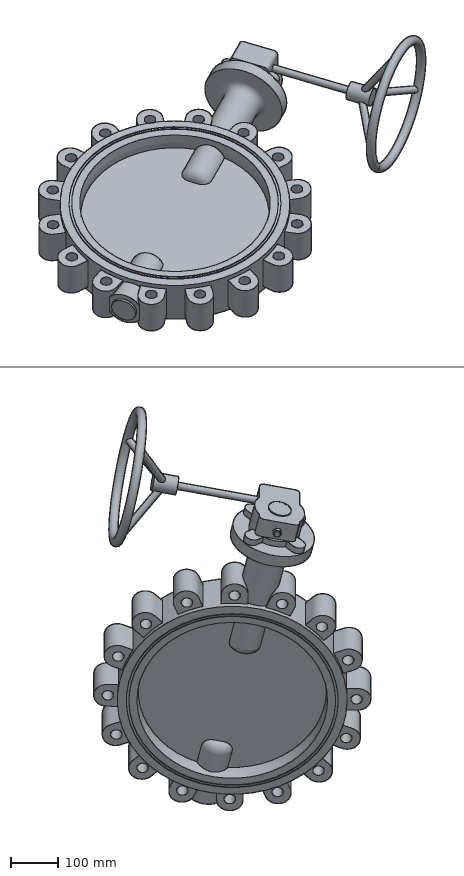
import cadquery as cq
import math


RING_RADIUS = 242.5
RING_HALF_WIDTH = 51.0
BEAD_OUTER_RADIUS = 223.5
BEAD_INNER_RADIUS = 218.0
BEAD_HALF_WIDTH = 53.0
BORE_MOUTH_RADIUS = 201.0
BORE_THROAT_RADIUS = 198.5
THROAT_HALF_WIDTH = 30.0

LUG_COUNT = 16
BOLT_CIRCLE_RADIUS = 262.5
LUG_CENTRE_RADIUS = 264.5
LUG_RADIUS = 28.0
LUG_HALF_HEIGHT = 40.0
LUG_HOLE_DIAMETER = 24.0
LUG_ROOT_RADIUS = 225.0
LUG_PITCH = 360.0 / LUG_COUNT

DISC_HALF_THICKNESS = 15.0
HUB_RADIUS = 36.5
HUB_END_FILLET = 20.0
UPPER_HUB_END = 103.5
LOWER_HUB_END = 132.5
HUB_OUTER_END = 210.0

NECK_RADIUS = 40.0
STEM_BOSS_ROOT = 225.0
NECK_FILLET = 15.0
FLANGE_RADIUS = 88.0
FLANGE_BOTTOM = 382.0
FLANGE_TOP = 409.0
BOSS_RADIUS = 40.0
BOSS_END = 281.5
STUB_RADIUS = 27.5
STUB_END = 287.0

BASE_TOP = 423.5
EAR_CIRCLE_RADIUS = 70.0
EAR_RADIUS = 16.0
EAR_ANGLES = (45.0, 135.0)
DRUM_RADIUS = 54.0
GEARBOX_TOP = 467.5
BLOCK_BOTTOM = 414.0
BLOCK_HALF_WIDTH = 43.5
BLOCK_UPPER_Z = 82.5
BLOCK_LOWER_Z = -47.0
BLOCK_FILLET = 10.0
CAP_RADIUS = 24.5
CAP_TOP = 470.0
SCREW_ACROSS_FLATS = 16.0
SCREW_END_Z = -57.5
SCREW_CHAMFER = 2.0

SHAFT_Y = 443.0
SHAFT_Z = 55.0
SHAFT_RADIUS = 8.0
WHEEL_OUTER_RADIUS = 150.0
RIM_RADIUS = 10.0
RIM_CENTRE_RADIUS = WHEEL_OUTER_RADIUS - RIM_RADIUS
RIM_X = 323.0
WHEEL_HUB_RADIUS = 20.0
WHEEL_HUB_START = 217.0
WHEEL_HUB_END = 269.0
SPOKE_COUNT = 3
SPOKE_RADIUS = 8.0


def cylinder_along_y(radius, start, end):
    """Cylinder on the Y axis between two Y positions, start below end."""
    base = cq.Vector(0, start, 0)
    return cq.Workplane(cq.Solid.makeCylinder(radius, end - start, base, cq.Vector(0, 1, 0)))


def cylinder_along_x(radius, start, end, y, z):
    """Cylinder parallel to X between two X positions, start below end."""
    base = cq.Vector(start, y, z)
    return cq.Workplane(cq.Solid.makeCylinder(radius, end - start, base, cq.Vector(1, 0, 0)))


def make_ring_blank():
    """Solid ring outline with a raised sealing bead on both faces."""
    return (
        cq.Workplane("XZ")
        .moveTo(0, -RING_HALF_WIDTH)
        .lineTo(BEAD_INNER_RADIUS, -RING_HALF_WIDTH)
        .lineTo(BEAD_INNER_RADIUS, -BEAD_HALF_WIDTH)
        .lineTo(BEAD_OUTER_RADIUS, -BEAD_HALF_WIDTH)
        .lineTo(BEAD_OUTER_RADIUS, -RING_HALF_WIDTH)
        .lineTo(RING_RADIUS, -RING_HALF_WIDTH)
        .lineTo(RING_RADIUS, RING_HALF_WIDTH)
        .lineTo(BEAD_OUTER_RADIUS, RING_HALF_WIDTH)
        .lineTo(BEAD_OUTER_RADIUS, BEAD_HALF_WIDTH)
        .lineTo(BEAD_INNER_RADIUS, BEAD_HALF_WIDTH)
        .lineTo(BEAD_INNER_RADIUS, RING_HALF_WIDTH)
        .lineTo(0, RING_HALF_WIDTH)
        .close()
        .revolve(360, (0, 0, 0), (0, 1, 0))
    )


def make_bore():
    """Bore volume: a straight throat that flares conically to each mouth."""
    return (
        cq.Workplane("XZ")
        .moveTo(0, -RING_HALF_WIDTH)
        .lineTo(BORE_MOUTH_RADIUS, -RING_HALF_WIDTH)
        .lineTo(BORE_THROAT_RADIUS, -THROAT_HALF_WIDTH)
        .lineTo(BORE_THROAT_RADIUS, THROAT_HALF_WIDTH)
        .lineTo(BORE_MOUTH_RADIUS, RING_HALF_WIDTH)
        .lineTo(0, RING_HALF_WIDTH)
        .close()
        .revolve(360, (0, 0, 0), (0, 1, 0))
    )


def make_lug(angle):
    """Lug on the +X axis with a round end, turned about Z by the angle."""
    height = 2 * LUG_HALF_HEIGHT
    arm_length = LUG_CENTRE_RADIUS - LUG_ROOT_RADIUS
    arm_centre = (LUG_CENTRE_RADIUS + LUG_ROOT_RADIUS) / 2
    arm = cq.Workplane("XY").box(arm_length, 2 * LUG_RADIUS, height).translate((arm_centre, 0, 0))
    end = cq.Workplane("XY").circle(LUG_RADIUS).extrude(LUG_HALF_HEIGHT, both=True)
    lug = arm.union(end.translate((LUG_CENTRE_RADIUS, 0, 0)))
    return lug.rotate((0, 0, 0), (0, 0, 1), angle)


def make_lug_holes():
    """Through holes on the bolt circle, straddling the stem axis."""
    return (
        cq.Workplane("XY")
        .polarArray(BOLT_CIRCLE_RADIUS, LUG_PITCH / 2, 360, LUG_COUNT)
        .circle(LUG_HOLE_DIAMETER / 2)
        .extrude(RING_HALF_WIDTH, both=True)
    )


def make_disc():
    """Flat disc with an upper and a lower stem hub, each with a rounded inner end."""
    disc = cq.Workplane("XY").circle(BORE_MOUTH_RADIUS).extrude(DISC_HALF_THICKNESS, both=True)
    upper_hub = cylinder_along_y(HUB_RADIUS, UPPER_HUB_END, HUB_OUTER_END)
    lower_hub = cylinder_along_y(HUB_RADIUS, -HUB_OUTER_END, -LOWER_HUB_END)
    upper_hub = upper_hub.faces("<Y").edges().fillet(HUB_END_FILLET)
    lower_hub = lower_hub.faces(">Y").edges().fillet(HUB_END_FILLET)
    return disc.union(upper_hub).union(lower_hub)


def make_neck():
    """Neck that flares with a fillet into the round mounting flange, revolved about Y."""
    fillet_start = FLANGE_BOTTOM - NECK_FILLET
    fillet_outer = NECK_RADIUS + NECK_FILLET
    fillet_middle = (
        fillet_outer - NECK_FILLET * math.cos(math.pi / 4),
        fillet_start + NECK_FILLET * math.sin(math.pi / 4),
    )
    return (
        cq.Workplane("XY")
        .moveTo(0, STEM_BOSS_ROOT)
        .lineTo(NECK_RADIUS, STEM_BOSS_ROOT)
        .lineTo(NECK_RADIUS, fillet_start)
        .threePointArc(fillet_middle, (fillet_outer, FLANGE_BOTTOM))
        .lineTo(FLANGE_RADIUS, FLANGE_BOTTOM)
        .lineTo(FLANGE_RADIUS, FLANGE_TOP)
        .lineTo(0, FLANGE_TOP)
        .close()
        .revolve(360, (0, 0, 0), (0, 1, 0))
    )


def make_valve():
    """Ring, lugs, neck, bottom boss and disc as one body."""
    outside = make_ring_blank()
    for index in range(LUG_COUNT):
        outside = outside.union(make_lug((index + 0.5) * LUG_PITCH))
    outside = outside.union(make_neck())
    outside = outside.union(cylinder_along_y(BOSS_RADIUS, -BOSS_END, -STEM_BOSS_ROOT))
    outside = outside.union(cylinder_along_y(STUB_RADIUS, -STUB_END, -BOSS_END))
    return outside.cut(make_lug_holes()).cut(make_bore()).union(make_disc())


def make_base():
    """Round mounting base with four round-ended ears on the diagonals."""
    base = cylinder_along_y(DRUM_RADIUS, FLANGE_TOP, BASE_TOP)
    thickness = BASE_TOP - FLANGE_TOP
    length = 2 * (EAR_CIRCLE_RADIUS + EAR_RADIUS)
    for angle in EAR_ANGLES:
        ears = cq.Workplane("XZ", origin=(0, BASE_TOP, 0)).slot2D(length, 2 * EAR_RADIUS, angle)
        base = base.union(ears.extrude(thickness))
    return base


def make_gear_housing():
    """Rectangular worm block with side bulges from the gear drum, and a cap on top."""
    block_height = BLOCK_UPPER_Z - BLOCK_LOWER_Z
    block_middle_z = (BLOCK_UPPER_Z + BLOCK_LOWER_Z) / 2
    block = (
        cq.Workplane("XY")
        .box(2 * BLOCK_HALF_WIDTH, GEARBOX_TOP - BLOCK_BOTTOM, block_height)
        .edges("|Y")
        .fillet(BLOCK_FILLET)
        .translate((0, (GEARBOX_TOP + BLOCK_BOTTOM) / 2, block_middle_z))
    )
    drum = cylinder_along_y(DRUM_RADIUS, BASE_TOP, GEARBOX_TOP)
    drum_limits = (
        cq.Workplane("XY")
        .box(2 * DRUM_RADIUS, 2 * GEARBOX_TOP, block_height)
        .translate((0, 0, block_middle_z))
    )
    cap = cylinder_along_y(CAP_RADIUS, GEARBOX_TOP, CAP_TOP)
    return block.union(drum.intersect(drum_limits)).union(cap)


def make_stop_screw():
    """Hexagonal stop screw under the worm block."""
    across_corners = SCREW_ACROSS_FLATS / math.cos(math.pi / 6)
    return (
        cq.Workplane("XY", origin=(0, SHAFT_Y, SCREW_END_Z))
        .polygon(6, across_corners)
        .extrude(BLOCK_LOWER_Z - SCREW_END_Z)
        .faces("<Z")
        .chamfer(SCREW_CHAMFER)
    )


def make_spoke(angle):
    """Spoke from the middle of the wheel hub to the rim, turned about the shaft from +Z."""
    hub_middle = (WHEEL_HUB_START + WHEEL_HUB_END) / 2
    run = cq.Vector(RIM_X - hub_middle, 0, RIM_CENTRE_RADIUS)
    start = cq.Vector(hub_middle, 0, 0)
    spoke = cq.Workplane(cq.Solid.makeCylinder(SPOKE_RADIUS, run.Length, start, run))
    return spoke.rotate((0, 0, 0), (1, 0, 0), angle).translate((0, SHAFT_Y, SHAFT_Z))


def make_handwheel():
    """Operator shaft, wheel hub, spokes and round rim."""
    wheel = cylinder_along_x(WHEEL_HUB_RADIUS, WHEEL_HUB_START, WHEEL_HUB_END, SHAFT_Y, SHAFT_Z)
    wheel = wheel.union(cylinder_along_x(SHAFT_RADIUS, 0, WHEEL_HUB_START, SHAFT_Y, SHAFT_Z))
    for index in range(SPOKE_COUNT):
        wheel = wheel.union(make_spoke(index * 360.0 / SPOKE_COUNT))
    rim = (
        cq.Workplane("XZ", origin=(RIM_X, SHAFT_Y, SHAFT_Z))
        .center(0, -RIM_CENTRE_RADIUS)
        .circle(RIM_RADIUS)
        .revolve(360, (0, RIM_CENTRE_RADIUS, 0), (1, RIM_CENTRE_RADIUS, 0))
    )
    return wheel.union(rim)


def make_gear_operator():
    """Gearbox and handwheel as one body standing on the valve flange."""
    return make_gear_housing().union(make_base()).union(make_stop_screw()).union(make_handwheel())


valve = make_valve()
gear_operator = make_gear_operator()

result = cq.Compound.makeCompound([valve.val(), gear_operator.val()])